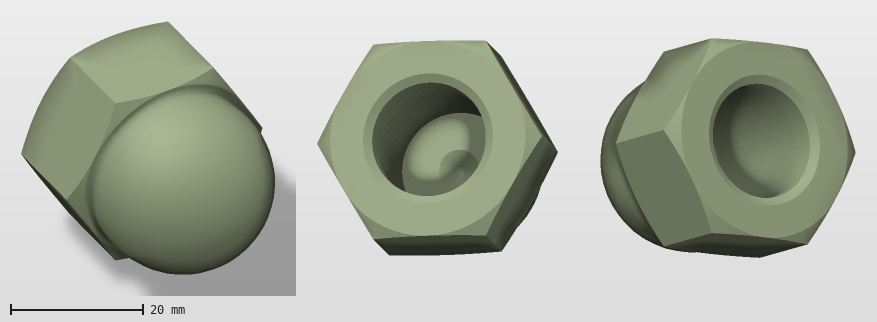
import cadquery as cq
import math


width_across_flats = 30.0
hex_length = 16.0
corner_chamfer_angle = math.radians(30)

total_length = 34.0
dome_diameter = 28.0
neck_fillet_radius = 0.6

bore_diameter = 17.5
bore_depth = 26.0
mouth_diameter = 20.0
mouth_chamfer_angle = math.radians(55)
drill_tip_diameter = 6.15
drill_tip_half_angle = math.radians(118 / 2)

hex_half_side_angle = math.radians(30)
arc_middle_angle = math.radians(45)
flat_radius = width_across_flats / 2
corner_radius = flat_radius / math.cos(hex_half_side_angle)
corner_chamfer_length = (corner_radius - flat_radius) * math.tan(corner_chamfer_angle)
dome_radius = dome_diameter / 2
dome_start = total_length - dome_radius
bore_radius = bore_diameter / 2
mouth_radius = mouth_diameter / 2
mouth_depth = (mouth_radius - bore_radius) / math.tan(mouth_chamfer_angle)
drill_tip_radius = drill_tip_diameter / 2
drill_tip_depth = drill_tip_radius / math.tan(drill_tip_half_angle)


def revolve_about_x(profile):
    """Turn a closed half-profile, drawn as (X, radius), into a solid around the X axis."""
    return profile.close().revolve(360, (0, 0, 0), (1, 0, 0))


def make_hexagon():
    """Hexagonal body with corners on +Y and -Y and conical chamfers at both ends."""
    prism = cq.Workplane("YZ").polygon(6, 2 * corner_radius).extrude(hex_length)
    chamfer_envelope = revolve_about_x(
        cq.Workplane("XY")
        .lineTo(0, flat_radius)
        .lineTo(corner_chamfer_length, corner_radius)
        .lineTo(hex_length - corner_chamfer_length, corner_radius)
        .lineTo(hex_length, flat_radius)
        .lineTo(hex_length, 0)
    )
    return prism.intersect(chamfer_envelope)


def make_dome():
    """Cylindrical neck with a concave root fillet, closed by a hemisphere."""
    fillet_middle_offset = neck_fillet_radius * (1 - math.cos(arc_middle_angle))
    root_start = (hex_length, dome_radius + neck_fillet_radius)
    root_middle = (hex_length + fillet_middle_offset, dome_radius + fillet_middle_offset)
    root_end = (hex_length + neck_fillet_radius, dome_radius)
    dome_middle_offset = dome_radius * math.cos(arc_middle_angle)
    return revolve_about_x(
        cq.Workplane("XY")
        .lineTo(0, dome_radius)
        .lineTo(hex_length, dome_radius)
        .lineTo(*root_start)
        .threePointArc(root_middle, root_end)
        .lineTo(dome_start, dome_radius)
        .threePointArc((dome_start + dome_middle_offset, dome_middle_offset), (total_length, 0))
    )


def make_bore():
    """Blind bore with a chamfered mouth and a small conical drill tip in its flat floor."""
    return revolve_about_x(
        cq.Workplane("XY")
        .lineTo(0, mouth_radius)
        .lineTo(mouth_depth, bore_radius)
        .lineTo(bore_depth, bore_radius)
        .lineTo(bore_depth, drill_tip_radius)
        .lineTo(bore_depth + drill_tip_depth, 0)
    )


result = make_hexagon().union(make_dome()).cut(make_bore())